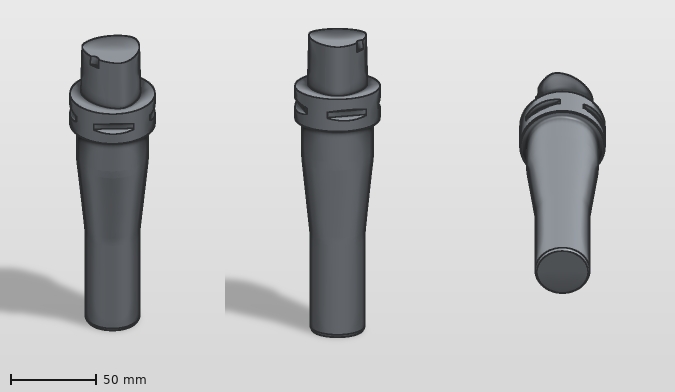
import cadquery as cq
import math

total_height = 181.0
flange_top = 151.0
flange_bottom = 130.5
cone_top = 107.9
cone_bottom = 60.0

flange_radius = 25.0
neck_radius = 21.0
shank_radius = 32.0 / 2
flange_chamfer = 0.5
neck_fillet = 2.5
cone_blend_radius = 47.0
end_radius = 15.0
end_break_radius = 15.5
end_break_level = 0.9
lead_in_top = 2.0

coupling_base_radius = 17.5
coupling_taper = 1 / 40
lobe_eccentricity = 1.3
lobe_half_angle = 37.0

notch_width = 6.9
notch_depth = 5.6
notch_floor = 13.8
notch_arc_radius = 4.3

pocket_count = 4
pocket_start_angle = 45.0
pocket_level = 140.8
pocket_floor = 21.5
pocket_floor_height = 3.3
pocket_mouth_height = 6.7
pocket_length = 23.5


def blend_corner(cone_angle, corner, toward_cone):
    """Start, middle and end of the arc joining a cylinder to the cone.

    toward_cone is +1 when the cone lies above the corner and -1 when it lies below.
    """
    radius, level = corner
    tangent_length = cone_blend_radius * math.tan(cone_angle / 2)
    arc_center_radius = radius + toward_cone * cone_blend_radius
    cylinder_level = level - toward_cone * tangent_length

    def arc_point(angle):
        return (
            arc_center_radius - toward_cone * cone_blend_radius * math.cos(angle),
            cylinder_level + toward_cone * cone_blend_radius * math.sin(angle),
        )

    return [arc_point(0), arc_point(cone_angle / 2), arc_point(cone_angle)]


def make_body():
    """Shank, cone, neck and flange revolved about Z."""
    cone_angle = math.atan((neck_radius - shank_radius) / (cone_top - cone_bottom))
    lower = blend_corner(cone_angle, (shank_radius, cone_bottom), 1)
    upper = blend_corner(cone_angle, (neck_radius, cone_top), -1)
    fillet_middle = neck_fillet * (1 - math.sqrt(0.5))
    return (
        cq.Workplane("XZ")
        .moveTo(0, 0)
        .lineTo(end_radius, 0)
        .lineTo(end_break_radius, end_break_level)
        .lineTo(shank_radius, lead_in_top)
        .lineTo(*lower[0])
        .threePointArc(lower[1], lower[2])
        .lineTo(*upper[2])
        .threePointArc(upper[1], upper[0])
        .lineTo(neck_radius, flange_bottom - neck_fillet)
        .threePointArc(
            (neck_radius + fillet_middle, flange_bottom - fillet_middle),
            (neck_radius + neck_fillet, flange_bottom),
        )
        .lineTo(flange_radius - flange_chamfer, flange_bottom)
        .lineTo(flange_radius, flange_bottom + flange_chamfer)
        .lineTo(flange_radius, flange_top)
        .lineTo(0, flange_top)
        .close()
        .revolve(360, (0, 0, 0), (0, 1, 0))
    )


def coupling_wire(level):
    """Constant-width three-lobed outline, one lobe toward +Y, split into lobe and flank edges."""
    mean_radius = coupling_base_radius - coupling_taper * (level - flange_top)

    def outline_point(degrees):
        angle = math.radians(degrees)
        along = mean_radius * math.cos(angle)
        along += lobe_eccentricity * (2 * math.cos(2 * angle) - math.cos(4 * angle))
        across = mean_radius * math.sin(angle)
        across -= lobe_eccentricity * (2 * math.sin(2 * angle) + math.sin(4 * angle))
        return cq.Vector(-across, along, level)

    def outline_edge(start, end, steps=12):
        return cq.Edge.makeSpline(
            [outline_point(start + (end - start) * i / steps) for i in range(steps + 1)]
        )

    edges = []
    for lobe in (0, 120, 240):
        edges.append(outline_edge(lobe - lobe_half_angle, lobe + lobe_half_angle))
        edges.append(outline_edge(lobe + lobe_half_angle, lobe + 120 - lobe_half_angle))
    return cq.Wire.assembleEdges(edges)


def make_coupling():
    wires = [coupling_wire(flange_top), coupling_wire(total_height)]
    return cq.Workplane(cq.Solid.makeLoft(wires, True))


def make_notch():
    """Key notch with a concave floor on the -Y flank, open at the end face."""
    half_width = notch_width / 2
    edge_rise = notch_arc_radius - math.sqrt(notch_arc_radius**2 - half_width**2)
    return (
        cq.Workplane("XY", origin=(0, 0, total_height - notch_depth))
        .moveTo(-half_width, -flange_radius)
        .lineTo(-half_width, -notch_floor - edge_rise)
        .threePointArc((0, -notch_floor), (half_width, -notch_floor - edge_rise))
        .lineTo(half_width, -flange_radius)
        .close()
        .extrude(notch_depth)
    )


def make_pocket(angle):
    """Tangential pocket with sloping sides and upright ends across the flange rim."""
    floor_half = pocket_floor_height / 2
    mouth_half = pocket_mouth_height / 2
    return (
        cq.Workplane("XZ")
        .polyline([
            (pocket_floor, pocket_level - floor_half),
            (flange_radius, pocket_level - mouth_half),
            (flange_radius, pocket_level + mouth_half),
            (pocket_floor, pocket_level + floor_half),
        ])
        .close()
        .extrude(pocket_length / 2, both=True)
        .rotate((0, 0, 0), (0, 0, 1), angle)
    )


result = make_body().union(make_coupling()).cut(make_notch())
for index in range(pocket_count):
    result = result.cut(make_pocket(pocket_start_angle + index * 360 / pocket_count))